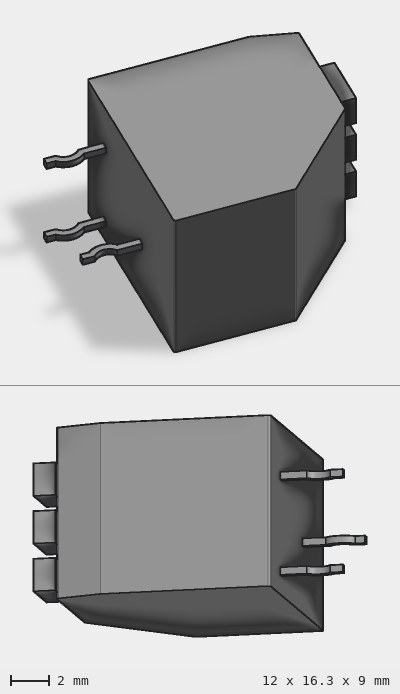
import cadquery as cq
import math

overall_length = 16.3

body_width = 12.0
body_height = 11.49
body_depth = 9.0
left_bevel_x = 0.67
left_bevel_y = 2.5
slope_start_x = 7.09
slope_end_y = 6.76
corner_radius = 0.13

button_left = 1.86
button_right = 4.85
button_neck_left = 2.45
button_gap = 0.35
button_height = 1.5
button_thickness = 1.71
button_offset_z = 0.33

pin_pitch_z = 2.51
first_pin_z = 1.22
outer_pin_x = 2.41
pin_spacing_x = 5.0
pin_thickness = 0.39
pin_length = overall_length - body_height - button_height
bend_y = -2.02
bend_bulge = 0.3
bend_inner_radius = 0.82
pole_count = 3


def make_body():
    outline = [
        (0, 0),
        (body_width, 0),
        (body_width, slope_end_y),
        (slope_start_x, body_height),
        (left_bevel_x, body_height),
        (0, body_height - left_bevel_y),
    ]
    body = cq.Workplane("XY").polyline(outline).close().extrude(body_depth)
    corners = outline[:-1]
    for x, y in corners:
        nearest = cq.selectors.NearestToPointSelector((x, y, body_depth / 2))
        body = body.edges("|Z").edges(nearest).fillet(corner_radius)
    return body


def make_button(center_z):
    top = body_height + button_height
    hook = body_height + button_gap
    outline = [
        (button_neck_left, body_height),
        (button_right, body_height),
        (button_right, top),
        (button_left, top),
        (button_left, hook),
        (button_neck_left, hook),
    ]
    base = cq.Workplane("XY", origin=(0, 0, center_z - button_thickness / 2))
    return base.polyline(outline).close().extrude(button_thickness)


def make_pin(center_x, center_z, bulge_direction):
    """Pin whose kink bulges toward +X (1) or -X (-1)."""
    half = pin_thickness / 2
    bend_outer_radius = bend_inner_radius + pin_thickness
    inner_chord = math.sqrt(bend_inner_radius**2 - (bend_inner_radius - bend_bulge) ** 2)
    outer_chord = math.sqrt(bend_outer_radius**2 - (bend_outer_radius - bend_bulge) ** 2)

    def point(x, y):
        return (center_x + bulge_direction * x, y)

    base = cq.Workplane("XY", origin=(0, 0, center_z - half))
    return (
        base.moveTo(*point(-half, 0))
        .lineTo(*point(-half, bend_y + inner_chord))
        .threePointArc(point(-half + bend_bulge, bend_y), point(-half, bend_y - inner_chord))
        .lineTo(*point(-half, -pin_length))
        .lineTo(*point(half, -pin_length))
        .lineTo(*point(half, bend_y - outer_chord))
        .threePointArc(point(half + bend_bulge, bend_y), point(half, bend_y + outer_chord))
        .lineTo(*point(half, 0))
        .close()
        .extrude(pin_thickness)
    )


result = make_body()
for pole in range(pole_count):
    pin_z = first_pin_z + pole * pin_pitch_z
    result = result.union(make_button(pin_z + button_offset_z))
    if pole % 2 == 0:
        pin = make_pin(outer_pin_x, pin_z, 1)
    else:
        pin = make_pin(outer_pin_x + pin_spacing_x, pin_z, -1)
    result = result.union(pin)